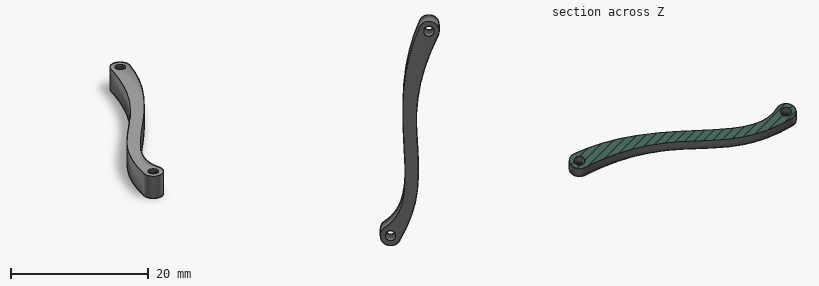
import cadquery as cq
import math

thickness = 3.7
boss_radius = 1.5
hole_diameter = 1.5
left_center = (0.0, 0.0)
right_center = (30.94, -4.0)

upper_left_angle = 5.8
upper_right_angle = 38.9
lower_left_angle = 8.2
lower_right_angle = 12.2

upper_left_handle = 14.5
upper_right_handle = 7.8
lower_left_handle = 16.1
lower_right_handle = 12.9


def step(start, angle, distance):
    """Point at a distance from start, in the direction of angle (degrees)."""
    turn = math.radians(angle)
    return (start[0] + distance * math.cos(turn), start[1] + distance * math.sin(turn))


def edge_curve(left_point, left_angle, left_handle, right_point, right_angle, right_handle):
    """Control points of an S-curve tangent to both bosses, from left to right."""
    return [
        left_point,
        step(left_point, left_angle, left_handle),
        step(right_point, right_angle, -right_handle),
        right_point,
    ]


def make_arm():
    """S-shaped arm whose two curved edges run tangentially into round ends."""
    upper_left = step(left_center, upper_left_angle + 90, boss_radius)
    upper_right = step(right_center, upper_right_angle + 90, boss_radius)
    lower_left = step(left_center, lower_left_angle - 90, boss_radius)
    lower_right = step(right_center, lower_right_angle - 90, boss_radius)
    left_tip = step(left_center, 180, boss_radius)
    right_tip = step(right_center, 0, boss_radius)

    upper_edge = edge_curve(
        upper_left, upper_left_angle, upper_left_handle,
        upper_right, upper_right_angle, upper_right_handle,
    )
    lower_edge = edge_curve(
        lower_left, lower_left_angle, lower_left_handle,
        lower_right, lower_right_angle, lower_right_handle,
    )
    return (
        cq.Workplane("XY")
        .moveTo(*upper_left)
        .bezier(upper_edge)
        .threePointArc(right_tip, lower_right)
        .bezier(lower_edge[::-1])
        .threePointArc(left_tip, upper_left)
        .close()
        .extrude(thickness)
    )


def make_pin_holes():
    """Through holes concentric with the two round ends."""
    return (
        cq.Workplane("XY")
        .pushPoints([left_center, right_center])
        .circle(hole_diameter / 2)
        .extrude(thickness)
    )


result = make_arm().cut(make_pin_holes())